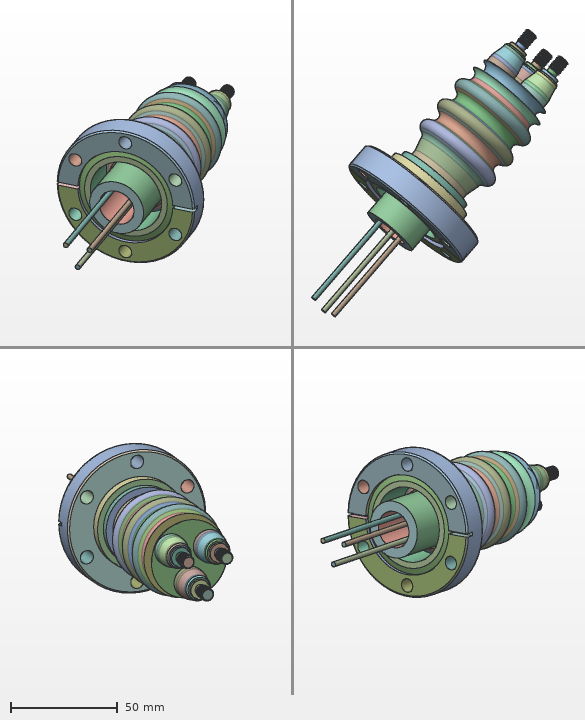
import cadquery as cq
import math


overall_length = 162.7

flange_diameter = 69.8
flange_radius = flange_diameter / 2
flange_thickness = 12.9
flange_chamfer = 0.8
bolt_count = 6
bolt_circle_radius = 29.3
bolt_hole_radius = 3.3

recess_radius = 24.1
recess_depth = 2.0
knife_tip_radius = 21.0
knife_tip_depth = 0.8
leak_groove_width = 1.6
leak_groove_depth = 4.2

neck_radius = 18.9
neck_end = 13.7
collar_radius = 22.3
collar_end = 18.7
sleeve_radius = 19.4
sleeve_end = 22.3

tube_radius = 13.7
tube_length = 10.7
tube_bore_radius = 8.8
bore_end = 68.3
bore_end_fillet = 3.0
gap_radius = 18.0
gap_end = 20.3
gap_floor_radius = 14.5
gap_floor_sweep = math.radians(55)
gap_cone_radius = 17.0

barrel_radius = 16.0
barrel_end = 26.0
valley_radius = 17.5
rib_radius = 22.3
rib_count = 3
first_valley = 32.2
rib_pitch = 12.7
rib_slope = math.radians(60)
upper_rim = 74.0
upper_rim_radius = 20.5
upper_rim_root_radius = 16.5
end_waist = 76.5
end_waist_radius = 16.0
insulator_end = 79.9
end_rim_radius = 19.0

conductor_angles = (30, 150, 270)
terminal_circle_radius = 11.2
terminal_end = 103.8
boot_radius = 7.6
boot_straight_end = 83.0
boot_taper_start = 84.8
boot_taper_start_radius = 7.5
boot_tip_radius = 6.2
boot_taper_end = 90.2
boot_shoulder = 91.6
boot_end = 92.6
boot_end_radius = 5.5
cap_radius = 4.7
cap_end = 94.2
stud_radius = 2.6
thread_start = 96.5
thread_radius = 3.1
thread_count = 8
rod_circle_radius = 7.0
rod_radius = 1.22
rod_end = terminal_end - overall_length
rod_embedding = 1.6


def revolve_about_y(outline):
    """Turn a closed outline of (radius, Y) points about the Y axis."""
    return outline.close().revolve(360, (0, 0, 0), (0, 1, 0))


def cylinder_along_y(radius, start, end):
    return cq.Workplane("XZ", origin=(0, start, 0)).circle(radius).extrude(start - end)


def at_polar(solid, circle_radius, angle):
    """Move a solid off the Y axis, to an angle measured from +X towards +Z."""
    turn = math.radians(angle)
    return solid.translate((circle_radius * math.cos(turn), 0, circle_radius * math.sin(turn)))


def make_flange():
    flange = cylinder_along_y(flange_radius, 0, flange_thickness).edges().chamfer(flange_chamfer)
    bolt_hole = cylinder_along_y(bolt_hole_radius, 0, flange_thickness)
    for index in range(bolt_count):
        flange = flange.cut(at_polar(bolt_hole, bolt_circle_radius, 90 + index * 360 / bolt_count))

    groove = cq.Workplane("XY").box(flange_diameter, 2 * leak_groove_depth, leak_groove_width)
    groove = groove.cut(cylinder_along_y(recess_radius, -leak_groove_depth, leak_groove_depth))
    recess = revolve_about_y(
        cq.Workplane("XY")
        .moveTo(0, 0)
        .lineTo(recess_radius, 0)
        .lineTo(recess_radius, recess_depth)
        .lineTo(knife_tip_radius, knife_tip_depth)
        .lineTo(0, knife_tip_depth)
    )
    return flange.cut(groove).cut(recess)


def make_collars():
    neck = cylinder_along_y(neck_radius, flange_thickness, neck_end)
    collar = cylinder_along_y(collar_radius, neck_end, collar_end)
    sleeve = cylinder_along_y(sleeve_radius, collar_end, sleeve_end)
    return neck.union(collar).union(sleeve)


def make_insulator():
    half_pitch = rib_pitch / 2
    rib_height = rib_radius - valley_radius
    sine = math.sin(rib_slope)
    cosine = math.cos(rib_slope)
    arc_radius = (half_pitch * sine - rib_height * cosine) / (2 * (1 - cosine))
    half_sine = math.sin(rib_slope / 2)
    half_cosine = math.cos(rib_slope / 2)
    arc_rise = arc_radius * (1 - cosine)
    arc_run = arc_radius * sine
    mid_rise = arc_radius * (1 - half_cosine)
    mid_run = arc_radius * half_sine

    outline = (
        cq.Workplane("XY")
        .moveTo(0, flange_thickness)
        .lineTo(barrel_radius, flange_thickness)
        .lineTo(barrel_radius, barrel_end)
        .lineTo(valley_radius, first_valley)
    )
    for index in range(rib_count):
        valley = first_valley + index * rib_pitch
        crest = valley + half_pitch
        next_valley = valley + rib_pitch
        outline = (
            outline
            .threePointArc(
                (valley_radius + mid_rise, valley + mid_run),
                (valley_radius + arc_rise, valley + arc_run),
            )
            .lineTo(rib_radius - arc_rise, crest - arc_run)
            .threePointArc((rib_radius, crest), (rib_radius - arc_rise, crest + arc_run))
            .lineTo(valley_radius + arc_rise, next_valley - arc_run)
            .threePointArc(
                (valley_radius + mid_rise, next_valley - mid_run),
                (valley_radius, next_valley),
            )
        )

    outline = (
        outline
        .tangentArcPoint((upper_rim_radius, upper_rim), relative=False)
        .lineTo(upper_rim_root_radius, upper_rim)
        .threePointArc((end_waist_radius, end_waist), (end_rim_radius, insulator_end))
        .lineTo(0, insulator_end)
    )
    return revolve_about_y(outline)


def make_gap():
    """Round cavity behind the sealing face; its floor curves outward and ends in a cone at the wall."""
    cone_slope = math.pi / 2 - gap_floor_sweep
    cone_start = gap_end - (gap_radius - gap_cone_radius) * math.tan(cone_slope)
    arc_radius = (gap_cone_radius - gap_floor_radius) / (1 - math.cos(gap_floor_sweep))
    floor_start = cone_start - arc_radius * math.sin(gap_floor_sweep)
    arc_middle = (
        gap_floor_radius + arc_radius * (1 - math.cos(gap_floor_sweep / 2)),
        floor_start + arc_radius * math.sin(gap_floor_sweep / 2),
    )
    return revolve_about_y(
        cq.Workplane("XY")
        .moveTo(0, 0)
        .lineTo(gap_radius, 0)
        .lineTo(gap_radius, gap_end)
        .lineTo(gap_cone_radius, cone_start)
        .threePointArc(arc_middle, (gap_floor_radius, floor_start))
        .lineTo(0, floor_start)
    )


def make_terminal():
    """Tapered boot, cap and threaded stud, centred on the Y axis."""
    outline = (
        cq.Workplane("XY")
        .moveTo(0, insulator_end)
        .lineTo(boot_radius, insulator_end)
        .lineTo(boot_radius, boot_straight_end)
        .lineTo(boot_taper_start_radius, boot_taper_start)
        .lineTo(boot_tip_radius, boot_taper_end)
        .lineTo(boot_tip_radius, boot_shoulder)
        .lineTo(boot_end_radius, boot_end)
        .lineTo(cap_radius, boot_end)
        .lineTo(cap_radius, cap_end)
        .lineTo(stud_radius, cap_end)
        .lineTo(stud_radius, thread_start)
    )
    thread_pitch = (terminal_end - thread_start) / thread_count
    for index in range(thread_count):
        root = thread_start + index * thread_pitch
        outline = outline.lineTo(thread_radius, root + thread_pitch / 2).lineTo(stud_radius, root + thread_pitch)
    return revolve_about_y(outline.lineTo(0, terminal_end))


body = make_flange().union(make_collars()).union(make_insulator())
body = body.cut(make_gap())
body = body.union(cylinder_along_y(tube_radius, -tube_length, gap_end))

bore = cylinder_along_y(tube_bore_radius, -tube_length, bore_end).faces(">Y").edges().fillet(bore_end_fillet)
body = body.cut(bore)

terminal = make_terminal()
rod = cylinder_along_y(rod_radius, rod_end, bore_end + rod_embedding)
for angle in conductor_angles:
    body = body.union(at_polar(terminal, terminal_circle_radius, angle))
    body = body.union(at_polar(rod, rod_circle_radius, angle))

result = body